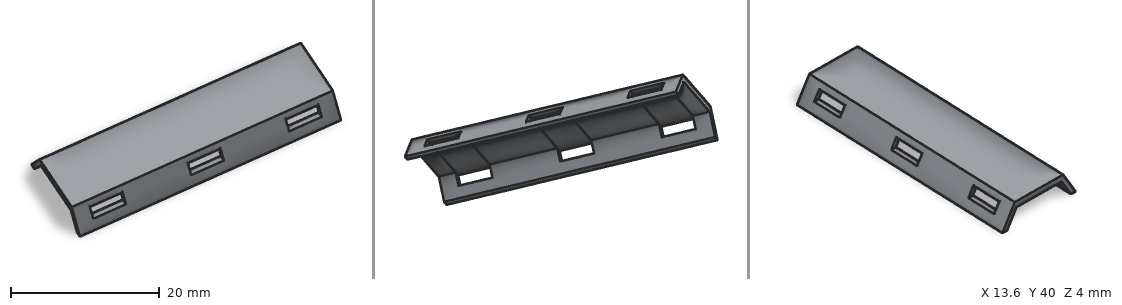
import cadquery as cq
import math

length = 40.0
width = 13.6
height = 4.0

top_thickness = 1.0
leg_foot_width = 0.9
leg_slant = math.tan(math.radians(30))

slot_length = 5.0
slot_height = 1.6
slot_center_z = 2.25
slot_spacing = 15.0
slots_per_leg = 3


def half_width_at(z):
    """Outer half width of the channel at height z."""
    return width / 2 - z * leg_slant


def make_channel():
    """Trapezoidal channel, open underneath, centered along Y."""
    ceiling_z = height - top_thickness
    outer_foot = half_width_at(0)
    outer_top = half_width_at(height)
    inner_foot = outer_foot - leg_foot_width
    inner_top = half_width_at(ceiling_z) - leg_foot_width
    outline = [
        (-outer_foot, 0),
        (-outer_top, height),
        (outer_top, height),
        (outer_foot, 0),
        (inner_foot, 0),
        (inner_top, ceiling_z),
        (-inner_top, ceiling_z),
        (-inner_foot, 0),
    ]
    return cq.Workplane("XZ").polyline(outline).close().extrude(length / 2, both=True)


def make_slot_cutters():
    """Horizontal bars that pass through both legs, evenly spaced along Y."""
    return (
        cq.Workplane("XY")
        .workplane(offset=slot_center_z)
        .rarray(0.4, slot_spacing, 1, slots_per_leg)
        .box(width, slot_length, slot_height)
    )


result = make_channel().cut(make_slot_cutters())